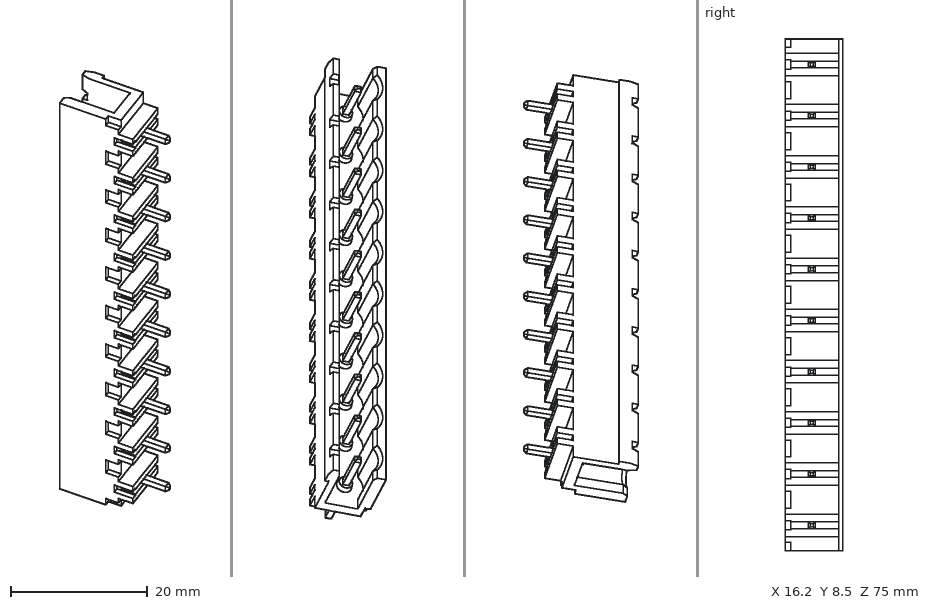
import cadquery as cq


POLES = 10
LENGTH = 75.0
PITCH = LENGTH / POLES
POLE_Z = [(i + 0.5) * PITCH for i in range(POLES)]
BOUNDARY_Z = [i * PITCH for i in range(POLES + 1)]

BODY_DEPTH = 9.75
BODY_HEIGHT = 7.9
FLOOR_X = 8.1
CAVITY_BOTTOM = 1.8
CAVITY_TOP = 6.8
RIM_BEVEL = 0.45
RIM_BEVEL_DEPTH = 0.75

LIP_TOP = 8.5
LIP_DEPTH = 2.9
LIP_TAPER_DEPTH = 1.3
LIP_FRONT_BOTTOM = 7.2
LIP_FRONT_TOP = 8.1
LIP_NOTCH_DEPTH = 1.0
LIP_NOTCH_MOUTH = 1.8
LIP_NOTCH_ROOT = 1.35

SCALLOP_RADIUS = 2.9

POCKET_LENGTH = 2.1
POCKET_WIDTH = 2.5
POCKET_DEPTH = 0.8
PIN_NOTCH_LENGTH = 0.7
PIN_NOTCH_WIDTH = 1.35

FOOT_LENGTH = 2.4
FOOT_PAIR_WIDTH = 3.3

PIN_Y = 3.9
PIN_SIZE = 1.0
PIN_TIP_SIZE = 0.45
PIN_TIP_LENGTH = 0.45
PIN_START = 0.9
PIN_END = 16.2
COLLAR_ROOT_DIAMETER = 2.3
COLLAR_FRONT_DIAMETER = 2.0
COLLAR_HEIGHT = 0.9


def block(x_start, x_end, y_start, y_end, z_mid, width):
    """Box between two X and two Y positions, centred on z_mid along Z."""
    return (
        cq.Workplane("XY", origin=(x_start, y_start, z_mid - width / 2))
        .box(x_end - x_start, y_end - y_start, width, centered=False)
    )


def pin_plane(x, z):
    """Workplane facing +X, centred on the pin axis of the pole at height z."""
    return cq.Workplane("YZ", origin=(x, PIN_Y, z))


def housing():
    outline = [
        (0, 0),
        (BODY_DEPTH, 0),
        (BODY_DEPTH, BODY_HEIGHT),
        (LIP_DEPTH, BODY_HEIGHT),
        (LIP_DEPTH, LIP_TOP),
        (LIP_TAPER_DEPTH, LIP_TOP),
        (0, LIP_FRONT_TOP),
        (0, LIP_FRONT_BOTTOM),
        (LIP_TAPER_DEPTH, CAVITY_TOP),
        (FLOOR_X, CAVITY_TOP),
        (FLOOR_X, CAVITY_BOTTOM),
        (RIM_BEVEL_DEPTH, CAVITY_BOTTOM),
        (0, CAVITY_BOTTOM - RIM_BEVEL),
    ]
    return cq.Workplane("XY").polyline(outline).close().extrude(LENGTH)


def scallop(z):
    """Round relief around one pin, flared at the front like the straight rim."""
    bore = pin_plane(0, z).circle(SCALLOP_RADIUS).extrude(FLOOR_X)
    flare = (
        pin_plane(0, z)
        .circle(SCALLOP_RADIUS + RIM_BEVEL)
        .workplane(offset=RIM_BEVEL_DEPTH)
        .circle(SCALLOP_RADIUS)
        .loft()
    )
    lower_half = block(0, FLOOR_X, 0, PIN_Y, z, PITCH)
    return bore.union(flare).intersect(lower_half)


def lip_notch(z):
    """Notch through the lip, narrowing toward its root."""
    profile = [
        (0, z - LIP_NOTCH_MOUTH / 2),
        (0, z + LIP_NOTCH_MOUTH / 2),
        (LIP_NOTCH_DEPTH, z + LIP_NOTCH_ROOT / 2),
        (LIP_NOTCH_DEPTH, z - LIP_NOTCH_ROOT / 2),
    ]
    plane = cq.Workplane("XZ", origin=(0, LIP_TOP, 0))
    return plane.polyline(profile).close().extrude(LIP_TOP - CAVITY_TOP)


def rear_recess(z, length, width):
    """Shallow recess in the lower face, open at the rear edge."""
    return block(BODY_DEPTH - length, BODY_DEPTH, 0, POCKET_DEPTH, z, width)


def feet(z):
    """Two feet across the full housing height, either side of one pin.

    The gap between them is as wide as the pin and opens to a wider mouth at the lower face.
    """
    rear = BODY_DEPTH + FOOT_LENGTH
    pair = block(BODY_DEPTH, rear, 0, BODY_HEIGHT, z, FOOT_PAIR_WIDTH)
    mouth = block(BODY_DEPTH, rear, 0, POCKET_DEPTH, z, PIN_NOTCH_WIDTH)
    gap = block(BODY_DEPTH, rear, POCKET_DEPTH, BODY_HEIGHT, z, PIN_SIZE)
    return pair.cut(mouth).cut(gap)


def pin_tip(x, start_size, end_size, z):
    return (
        pin_plane(x, z)
        .rect(start_size, start_size)
        .workplane(offset=PIN_TIP_LENGTH)
        .rect(end_size, end_size)
        .loft()
    )


def pin(z):
    """Square contact pin with tapered ends, and its tapered collar."""
    shank_start = PIN_START + PIN_TIP_LENGTH
    shank_end = PIN_END - PIN_TIP_LENGTH
    shank = pin_plane(shank_start, z).rect(PIN_SIZE, PIN_SIZE).extrude(shank_end - shank_start)
    front_tip = pin_tip(PIN_START, PIN_TIP_SIZE, PIN_SIZE, z)
    rear_tip = pin_tip(shank_end, PIN_SIZE, PIN_TIP_SIZE, z)
    collar = (
        pin_plane(FLOOR_X - COLLAR_HEIGHT, z)
        .circle(COLLAR_FRONT_DIAMETER / 2)
        .workplane(offset=COLLAR_HEIGHT)
        .circle(COLLAR_ROOT_DIAMETER / 2)
        .loft()
    )
    return shank.union(front_tip).union(rear_tip).union(collar)


result = housing()

for boundary_z in BOUNDARY_Z:
    result = result.cut(rear_recess(boundary_z, POCKET_LENGTH, POCKET_WIDTH))

for pole_z in POLE_Z:
    result = result.cut(scallop(pole_z))
    result = result.cut(lip_notch(pole_z))
    result = result.cut(rear_recess(pole_z, PIN_NOTCH_LENGTH, PIN_NOTCH_WIDTH))
    result = result.union(feet(pole_z))
    result = result.union(pin(pole_z))